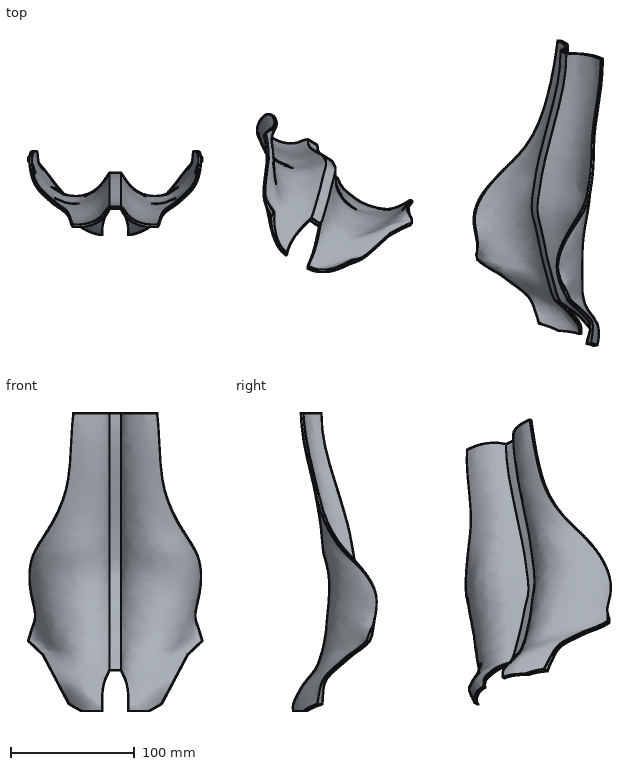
import cadquery as cq


LENGTH = 241.3
WIDTH = 141.2
WALL = 2.2
KEEL_HALF_WIDTH = 4.5

SLOT_HALF_WIDTH = 10.4
SLOT_STRAIGHT = 9.7
SLOT_HEIGHT = 33.0
SLOT_BEND = (9.0, 23.0)

SOLE_CORNER = (27.5, 0.0)
HEEL_CORNER = (37.6, 5.8)
FLANGE_START = (58.6, 45.5)
FLANGE_TIP = (WIDTH / 2, 57.0)
FLANGE_END = (65.2, 74.8)
TRIM_LIMIT = 96.5

GRID_ROWS = 48
GRID_COLUMNS = 20
SURFACE_TOLERANCE = 0.05

SECTIONS = [
    (-4.8, -0.2, (10.9, 0.0), (17.0, 1.5), (24.1, 5.5), (30.5, 12.0), (37.0, 22.2)),
    (0.0, 0.0, (10.9, 0.2), (17.4, 1.7), (25.3, 6.5), (31.9, 13.0), (38.0, 23.2)),
    (5.8, 1.5, (12.0, 0.5), (20.5, 2.5), (28.5, 8.0), (34.3, 14.5), (39.5, 23.5)),
    (15.7, 10.1, (12.8, 5.8), (23.0, 5.3), (31.4, 9.7), (38.5, 17.0), (45.0, 23.7)),
    (24.5, 18.8, (12.0, 12.5), (23.0, 11.0), (32.5, 14.0), (41.0, 19.5), (49.7, 25.5)),
    (33.0, 26.0, (11.8, 19.3), (23.0, 17.9), (35.0, 21.2), (44.2, 25.8), (54.3, 32.8)),
    (45.5, 31.5, (11.8, 25.0), (24.1, 23.0), (39.8, 28.7), (49.0, 37.6), (61.3, 47.0)),
    (57.0, 34.8, (12.5, 28.5), (26.5, 25.5), (48.3, 35.7), (58.0, 50.2), (73.0, 60.5)),
    (65.2, 37.2, (14.0, 29.5), (28.5, 26.8), (52.0, 38.5), (61.3, 53.5), (68.8, 63.7)),
    (74.8, 39.8, (14.5, 31.1), (30.2, 27.8), (53.0, 38.5), (62.3, 53.0), (65.2, 66.4)),
    (91.7, 43.5, (14.5, 33.3), (31.4, 29.2), (54.3, 38.1), (64.2, 51.2), (67.5, 67.8)),
    (114.9, 48.5, (14.5, 35.0), (32.5, 28.2), (53.0, 33.5), (63.5, 43.0), (69.3, 55.5)),
    (130.3, 46.5, (14.5, 32.5), (31.4, 24.5), (48.3, 27.8), (58.0, 34.3), (64.7, 40.3)),
    (144.8, 44.0, (13.5, 31.0), (29.0, 23.5), (41.0, 24.1), (49.0, 26.8), (55.7, 30.2)),
    (159.3, 40.0, (13.0, 28.5), (26.5, 21.7), (35.0, 21.2), (41.8, 22.0), (47.5, 23.5)),
    (177.1, 34.8, (12.5, 24.1), (24.1, 18.5), (30.2, 18.0), (36.0, 18.0), (40.5, 18.5)),
    (205.1, 26.3, (12.0, 17.1), (23.0, 12.3), (27.8, 11.5), (32.0, 11.5), (36.5, 11.8)),
    (LENGTH, 21.2, (12.0, 11.8), (21.7, 7.5), (26.0, 6.8), (30.2, 6.5), (34.0, 6.5)),
]
STATIONS = [
    [cq.Vector(x, y, height) for x, y in [(KEEL_HALF_WIDTH, keel_y), *points]]
    for height, keel_y, *points in SECTIONS
]


def evenly(count):
    """Fractions from 0 to 1 in equal steps."""
    return [step / (count - 1) for step in range(count)]


def front_grid():
    """Points on the front face: lengthwise curves first, then curves across them."""
    lengthwise = [cq.Edge.makeSpline(list(column)) for column in zip(*STATIONS)]
    grid = []
    for along in evenly(GRID_ROWS):
        across = cq.Edge.makeSpline([curve.positionAt(along) for curve in lengthwise])
        grid.append([across.positionAt(place) for place in evenly(GRID_COLUMNS)])
    return grid


def wall_direction(grid, row, column):
    """Unit vector through the wall, kept in the end planes and the keel side plane."""
    above = grid[min(row + 1, GRID_ROWS - 1)][column]
    below = grid[max(row - 1, 0)][column]
    outer = grid[row][min(column + 1, GRID_COLUMNS - 1)]
    inner = grid[row][max(column - 1, 0)]
    normal = (above - below).cross(outer - inner)
    flat = cq.Vector(
        0 if column == 0 else normal.x,
        normal.y,
        0 if row in (0, GRID_ROWS - 1) else normal.z,
    )
    return flat.normalized()


def half_shell():
    """Untrimmed right-hand shell: front and back faces closed by strips along their edges."""
    front_points = front_grid()
    back_points = [
        [point + wall_direction(front_points, row, column) * WALL for column, point in enumerate(line)]
        for row, line in enumerate(front_points)
    ]
    front = cq.Face.makeSplineApprox(front_points, tol=SURFACE_TOLERANCE)
    back = cq.Face.makeSplineApprox(back_points, tol=SURFACE_TOLERANCE)
    faces = [front, back]
    for front_edge in front.Edges():
        back_edge = min(back.Edges(), key=lambda edge: (edge.Center() - front_edge.Center()).Length)
        faces.append(cq.Face.makeRuledSurface(front_edge, back_edge))
    return cq.Workplane(cq.Solid.makeSolid(cq.Shell.makeShell(faces)))


def keel(shell):
    """Strip between the shells: the inner end of the right shell carried across."""
    end_face = shell.faces("<X").val()
    return cq.Workplane(cq.Solid.extrudeLinear(end_face, cq.Vector(-2 * KEEL_HALF_WIDTH, 0, 0)))


def leg_trim():
    """Everything outside the leg outline: slot, below the sole, and beyond the flange."""
    return (
        cq.Workplane("XZ")
        .moveTo(-TRIM_LIMIT, SLOT_HEIGHT)
        .lineTo(KEEL_HALF_WIDTH, SLOT_HEIGHT)
        .threePointArc(SLOT_BEND, (SLOT_HALF_WIDTH, SLOT_STRAIGHT))
        .lineTo(SLOT_HALF_WIDTH, 0)
        .lineTo(*SOLE_CORNER)
        .lineTo(*HEEL_CORNER)
        .lineTo(*FLANGE_START)
        .lineTo(*FLANGE_TIP)
        .lineTo(*FLANGE_END)
        .lineTo(TRIM_LIMIT, FLANGE_END[1])
        .lineTo(TRIM_LIMIT, -TRIM_LIMIT)
        .lineTo(-TRIM_LIMIT, -TRIM_LIMIT)
        .close()
        .extrude(TRIM_LIMIT, both=True)
    )


full_shell = half_shell()
right_shell = full_shell.cut(leg_trim())
left_shell = right_shell.mirror("YZ")
result = keel(full_shell).cut(leg_trim()).union(right_shell).union(left_shell)